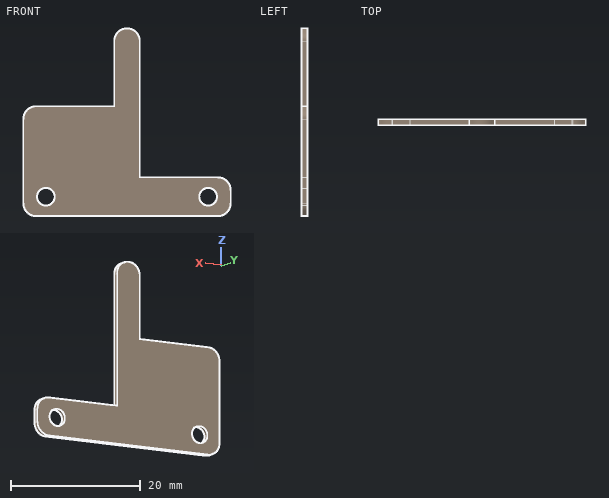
import cadquery as cq

length = 32.0
height = 29.0
thickness = 1.0

body_height = 17.0
arm_height = 6.0
tab_width = 4.0
tab_left = (length - tab_width) / 2
tab_right = tab_left + tab_width
tab_radius = tab_width / 2
corner_radius = tab_radius

hole_diameter = 2.7
hole_end_distance = 3.5
hole_z = arm_height / 2


def make_plate():
    """Plate in the XZ plane with its front face at Y = 0 and a round-ended tab."""
    tab_round_z = height - tab_radius
    outline = (
        cq.Workplane("XZ")
        .lineTo(length, 0)
        .lineTo(length, arm_height)
        .lineTo(tab_right, arm_height)
        .lineTo(tab_right, tab_round_z)
        .threePointArc((length / 2, height), (tab_left, tab_round_z))
        .lineTo(tab_left, body_height)
        .lineTo(0, body_height)
        .close()
    )
    return outline.extrude(-thickness)


def round_corners(plate):
    """Round the outer corners at both ends of the plate."""
    return plate.edges("|Y and (<X or >X)").fillet(corner_radius)


def make_holes():
    """Cutters for the two through holes."""
    centres = [(hole_end_distance, hole_z), (length - hole_end_distance, hole_z)]
    return cq.Workplane("XZ").pushPoints(centres).circle(hole_diameter / 2).extrude(-thickness)


result = round_corners(make_plate()).cut(make_holes())